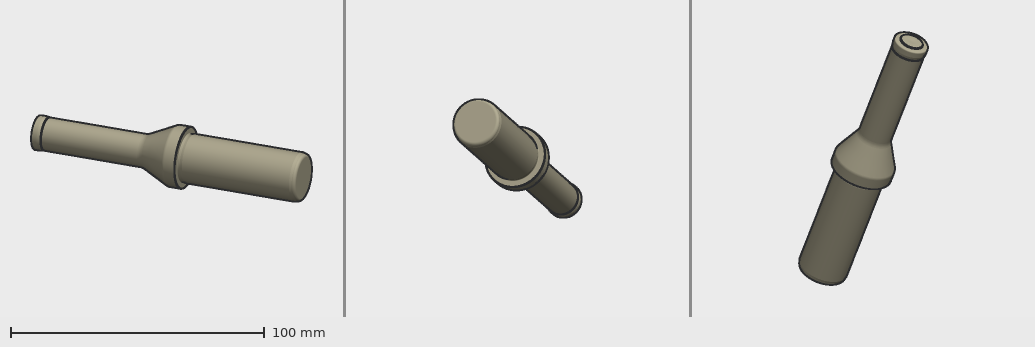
import cadquery as cq
import math


total_length = 114.0
head_diameter = 14.0
stem_diameter = 13.5
collar_diameter = 25.0
relief_diameter = 19.5
shank_diameter = 20.0

boss_diameter = 8.9
boss_base_diameter = 9.5
boss_top_diameter = 7.3
boss_height = 0.5
boss_crown = 0.1
dimple_diameter = 4.1
dimple_depth = 0.1
head_nose_fillet = 0.6
face_diameter = 11.4
face_slope_drop = 0.1
head_taper_start = 3.2
joint_x = 4.8
joint_chamfer = 0.17

cone_angle = math.radians(25.5)
stem_end = 45.8
stem_blend_radius = 4.8
collar_blend_radius = 2.3
collar_end = 64.1
collar_chamfer = 0.2

relief_fillet = 0.2
relief_end = 65.1
shank_start = 66.1
shank_end = 111.6
shank_lead_drop = 0.28
shank_end_radius = 1.4


def revolve_about_x(profile):
    """Turn a closed profile, drawn as (X, radius), about the X axis."""
    return profile.close().revolve(360, (0, 0, 0), (1, 0, 0))


def arc_points(center_x, center_radius, arc_radius, start_angle, end_angle):
    """Middle and end points of a circular arc in the (X, radius) plane."""
    return [
        (center_x + arc_radius * math.cos(angle), center_radius + arc_radius * math.sin(angle))
        for angle in ((start_angle + end_angle) / 2, end_angle)
    ]


def make_head():
    outer_radius = head_diameter / 2
    stem_radius = stem_diameter / 2
    nose_middle, nose_end = arc_points(
        boss_height + face_slope_drop + head_nose_fillet,
        outer_radius - head_nose_fillet,
        head_nose_fillet,
        math.pi,
        math.pi / 2,
    )
    profile = (
        cq.Workplane("XY")
        .moveTo(dimple_depth, 0)
        .lineTo(0, dimple_diameter / 2)
        .lineTo(0, boss_top_diameter / 2)
        .lineTo(boss_crown, boss_diameter / 2)
        .lineTo(boss_height, boss_base_diameter / 2)
        .lineTo(boss_height, face_diameter / 2)
        .lineTo(boss_height + face_slope_drop, outer_radius - head_nose_fillet)
        .threePointArc(nose_middle, nose_end)
        .lineTo(head_taper_start, outer_radius)
        .lineTo(joint_x - joint_chamfer, stem_radius)
        .lineTo(joint_x, stem_radius - joint_chamfer)
        .lineTo(joint_x, 0)
    )
    return revolve_about_x(profile)


def make_holder():
    stem_radius = stem_diameter / 2
    collar_radius = collar_diameter / 2
    relief_radius = relief_diameter / 2
    shank_radius = shank_diameter / 2

    stem_blend_middle, cone_start = arc_points(
        stem_end,
        stem_radius + stem_blend_radius,
        stem_blend_radius,
        -math.pi / 2,
        -math.pi / 2 + cone_angle,
    )
    collar_center_radius = collar_radius - collar_blend_radius
    cone_end_radius = collar_center_radius + collar_blend_radius * math.cos(cone_angle)
    cone_end_x = cone_start[0] + (cone_end_radius - cone_start[1]) / math.tan(cone_angle)
    collar_start = cone_end_x + collar_blend_radius * math.sin(cone_angle)
    collar_blend_middle, collar_blend_end = arc_points(
        collar_start,
        collar_center_radius,
        collar_blend_radius,
        math.pi / 2 + cone_angle,
        math.pi / 2,
    )

    relief_middle, relief_corner_end = arc_points(
        collar_end + relief_fillet,
        relief_radius + relief_fillet,
        relief_fillet,
        -math.pi,
        -math.pi / 2,
    )
    lead_end_radius = shank_radius - shank_lead_drop
    end_middle, end_point = arc_points(
        total_length - shank_end_radius,
        lead_end_radius - shank_end_radius,
        shank_end_radius,
        math.pi / 2,
        0,
    )
    profile = (
        cq.Workplane("XY")
        .moveTo(joint_x, 0)
        .lineTo(joint_x, stem_radius - joint_chamfer)
        .lineTo(joint_x + joint_chamfer, stem_radius)
        .lineTo(stem_end, stem_radius)
        .threePointArc(stem_blend_middle, cone_start)
        .lineTo(cone_end_x, cone_end_radius)
        .threePointArc(collar_blend_middle, collar_blend_end)
        .lineTo(collar_end - collar_chamfer, collar_radius)
        .lineTo(collar_end, collar_radius - collar_chamfer)
        .lineTo(collar_end, relief_radius + relief_fillet)
        .threePointArc(relief_middle, relief_corner_end)
        .lineTo(relief_end, relief_radius)
        .lineTo(shank_start, shank_radius)
        .lineTo(shank_end, shank_radius)
        .lineTo(total_length - shank_end_radius, lead_end_radius)
        .threePointArc(end_middle, end_point)
        .lineTo(total_length, 0)
    )
    return revolve_about_x(profile)


head = make_head()
holder = make_holder()

result = cq.Compound.makeCompound([head.val(), holder.val()])